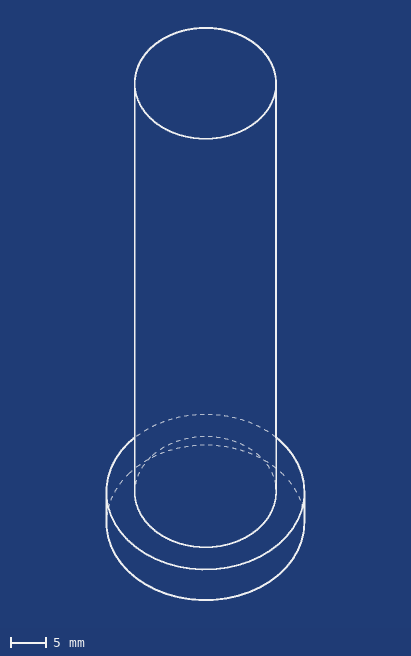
import cadquery as cq

total_length = 100.0
head_diameter = 28.0
head_thickness = 7.0
shank_diameter = 20.0
shank_length = total_length - head_thickness

head = cq.Workplane("XY").circle(head_diameter / 2).extrude(head_thickness)

result = head.faces(">Z").workplane().circle(shank_diameter / 2).extrude(shank_length)